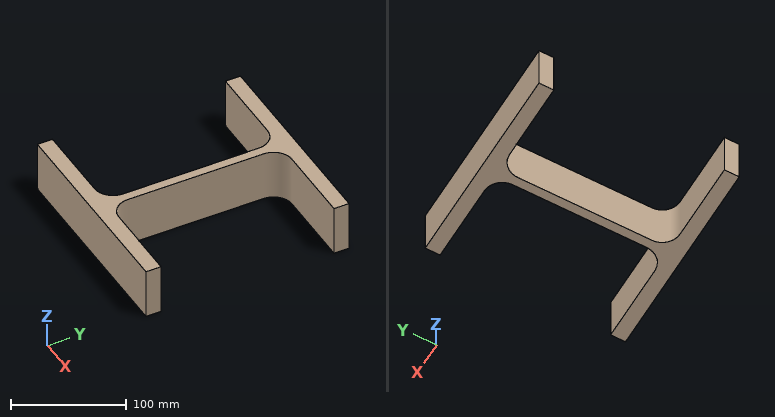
import cadquery as cq

section_depth = 200.0
flange_width = 200.0
flange_thickness = 15.0
web_thickness = 9.0
root_radius = 18.0
length = 50.0

flange_offset = (section_depth - flange_thickness) / 2


def flange(center_y):
    """Flange plate spanning the full width, centred on the given Y."""
    return cq.Workplane("XY").center(0, center_y).rect(flange_width, flange_thickness).extrude(length)


web = cq.Workplane("XY").rect(web_thickness, section_depth - flange_thickness).extrude(length)
beam = web.union(flange(flange_offset)).union(flange(-flange_offset))

web_zone = cq.selectors.BoxSelector(
    (-web_thickness, -section_depth / 2, 0),
    (web_thickness, section_depth / 2, length),
)
result = beam.edges("|Z").edges(web_zone).fillet(root_radius)